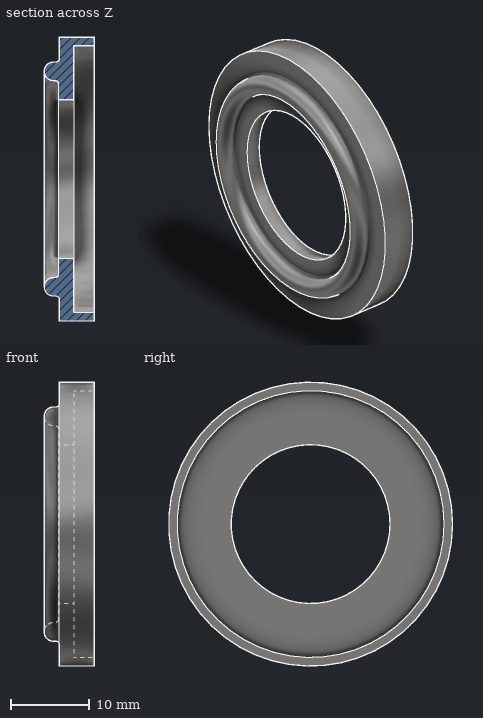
import cadquery as cq

outer_diameter = 36.2
bore_diameter = 20.2
total_thickness = 6.4
plate_thickness = 4.5

recess_diameter = 34.0
web_thickness = 2.0

inner_face_rise = 0.1

bead_inner_diameter = 25.1
bead_outer_diameter = 29.9
bead_root_fillet = 0.4

bead_inner_radius = bead_inner_diameter / 2
bead_outer_radius = bead_outer_diameter / 2
bead_middle_radius = (bead_inner_radius + bead_outer_radius) / 2
crown_radius = (bead_outer_radius - bead_inner_radius) / 2

back_x = total_thickness / 2
crown_x = -total_thickness / 2
face_x = back_x - plate_thickness
crown_start_x = crown_x + crown_radius
outer_fillet_start_x = face_x - bead_root_fillet
inner_face_x = face_x - inner_face_rise
recess_floor_x = inner_face_x + web_thickness
inner_fillet_start_x = inner_face_x - bead_root_fillet


def make_ring():
    """Revolve the half section (X along the axis, Y radial) about X."""
    section = (
        cq.Workplane("XY")
        .moveTo(recess_floor_x, bore_diameter / 2)
        .lineTo(recess_floor_x, recess_diameter / 2)
        .lineTo(back_x, recess_diameter / 2)
        .lineTo(back_x, outer_diameter / 2)
        .lineTo(face_x, outer_diameter / 2)
        .lineTo(face_x, bead_outer_radius + bead_root_fillet)
        .tangentArcPoint((outer_fillet_start_x, bead_outer_radius), relative=False)
        .lineTo(crown_start_x, bead_outer_radius)
        .threePointArc((crown_x, bead_middle_radius), (crown_start_x, bead_inner_radius))
        .lineTo(inner_fillet_start_x, bead_inner_radius)
        .tangentArcPoint((inner_face_x, bead_inner_radius - bead_root_fillet), relative=False)
        .lineTo(inner_face_x, bore_diameter / 2)
        .close()
    )
    return section.revolve(360, (0, 0, 0), (1, 0, 0))


result = make_ring()